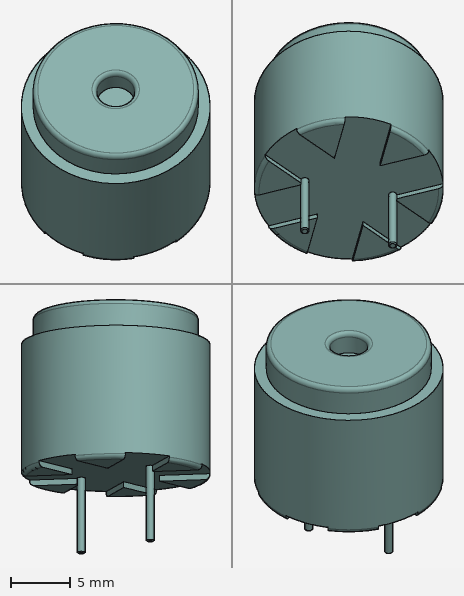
import cadquery as cq

overall_height = 20.03
body_bottom = 6.0
shoulder_height = 17.53

body_diameter = 16.0
cap_diameter = 14.0
sound_hole_diameter = 3.2
pin_diameter = 0.7

sound_hole_depth = 2.0
edge_radius = 0.4
pin_tip_chamfer = 0.1
pin_spacing = 7.61

slot_width = 3.97
slot_depth = 0.5
slot_angles = (30, 90, 150)


def make_body():
    """Main cylinder with its lower rim rounded."""
    return (
        cq.Workplane("XY", origin=(0, 0, body_bottom))
        .circle(body_diameter / 2)
        .extrude(shoulder_height - body_bottom)
        .faces("<Z")
        .edges()
        .fillet(edge_radius)
    )


def make_cap():
    """Smaller cylinder on the shoulder, with a blind sound hole and rounded top rims."""
    cap = (
        cq.Workplane("XY", origin=(0, 0, shoulder_height))
        .circle(cap_diameter / 2)
        .extrude(overall_height - shoulder_height)
    )
    sound_hole = (
        cq.Workplane("XY", origin=(0, 0, overall_height))
        .circle(sound_hole_diameter / 2)
        .extrude(-sound_hole_depth)
    )
    return cap.cut(sound_hole).faces(">Z").edges().fillet(edge_radius)


def make_vent_slot(angle):
    """Straight slot through the body axis, at an angle from the X axis."""
    return (
        cq.Workplane("XY", origin=(0, 0, body_bottom))
        .rect(2 * body_diameter, slot_width)
        .extrude(slot_depth)
        .rotate((0, 0, 0), (0, 0, 1), angle)
    )


def make_pins():
    """Two pins, rooted at the roof of the vent slots, with chamfered tips."""
    return (
        cq.Workplane("XY")
        .pushPoints([(-pin_spacing / 2, 0), (pin_spacing / 2, 0)])
        .circle(pin_diameter / 2)
        .extrude(body_bottom + slot_depth)
        .faces("<Z")
        .edges()
        .chamfer(pin_tip_chamfer)
    )


result = make_body().union(make_cap())
for slot_angle in slot_angles:
    result = result.cut(make_vent_slot(slot_angle))
result = result.union(make_pins())